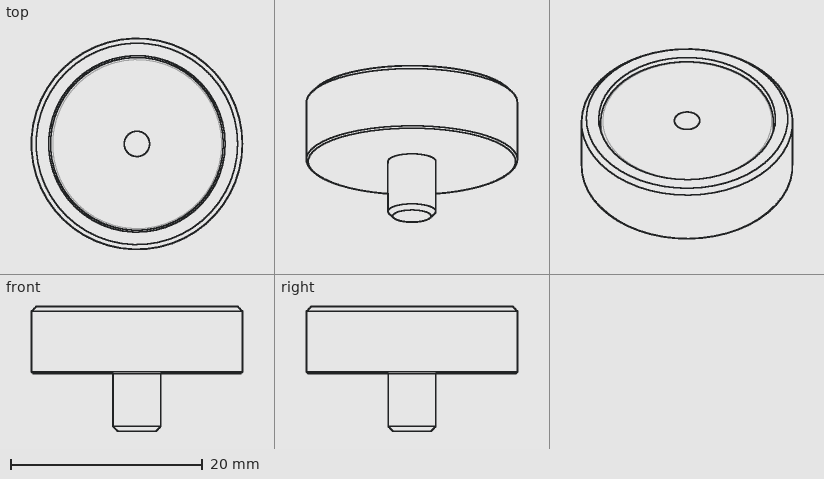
import cadquery as cq

housing_diameter = 22.0
housing_height = 7.0
housing_top_chamfer = 0.5
housing_bottom_chamfer = 0.2
pocket_diameter = 18.4
pocket_floor_thickness = 2.0

stud_diameter = 5.0
stud_length = 6.0
stud_chamfer = 0.5

disc_diameter = 18.0
disc_recess = 0.3
disc_rim_radius = 0.2
disc_thickness = housing_height - pocket_floor_thickness - disc_recess

post_diameter = 2.65


def cylinder(diameter, bottom, height):
    """Upright cylinder on the Z axis, starting at the given height."""
    return cq.Workplane("XY").workplane(offset=bottom).circle(diameter / 2).extrude(height)


def make_housing():
    """Pot with its stud and the post that passes through the disc."""
    pot = cylinder(housing_diameter, 0, housing_height)
    pot = pot.faces(">Z").edges().chamfer(housing_top_chamfer)
    pot = pot.faces("<Z").edges().chamfer(housing_bottom_chamfer)
    pocket = cylinder(pocket_diameter, pocket_floor_thickness, housing_height)
    post = cylinder(post_diameter, pocket_floor_thickness, disc_thickness)
    stud = cylinder(stud_diameter, -stud_length, stud_length)
    stud = stud.faces("<Z").edges().chamfer(stud_chamfer)
    return pot.cut(pocket).union(post).union(stud)


def make_disc():
    """Disc with a rounded upper rim and a bore that fits the post."""
    disc = cylinder(disc_diameter, pocket_floor_thickness, disc_thickness)
    disc = disc.faces(">Z").edges().fillet(disc_rim_radius)
    bore = cylinder(post_diameter, pocket_floor_thickness, disc_thickness)
    return disc.cut(bore)


housing = make_housing()
disc = make_disc()
result = cq.Compound.makeCompound([housing.val(), disc.val()])